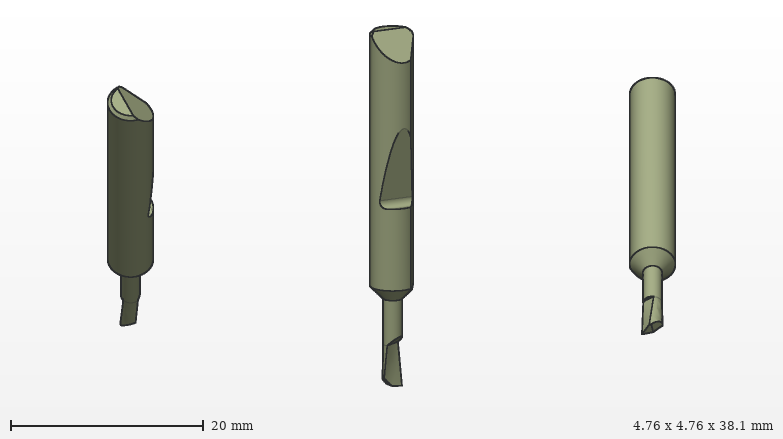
import cadquery as cq
import math

total_length = 38.1
shank_radius = 2.38
top_chamfer = 0.4
cone_top = 10.85
neck_radius = 1.01
cone_bottom = cone_top - (shank_radius - neck_radius)

flat_distance = 2.02
flat_normal_angle = 144.5
bevel_start_y = -0.57
notch_top = 28.15
notch_deep_y = 1.05
notch_deep_z = 20.42
notch_bottom = 19.6
notch_arc_end_y = 1.9

tip_root = 4.65
root_rake_angle = 27.0
tip_radius = 1.125
root_clearance_angle = 287.0
tip_clearance_angle = 262.0
runout_angle = 42.0
tip_corner_height = 1.15
end_edge_x = 0.08
end_relief_height = 0.1


def polar(radius, angle):
    """Point on a circle about the bar axis, angle in degrees from +X."""
    turn = math.radians(angle)
    return (radius * math.cos(turn), radius * math.sin(turn))


def bar_blank():
    """Turned body: chamfered shank, cone and slender neck."""
    outline = [
        (0, tip_root),
        (neck_radius, tip_root),
        (neck_radius, cone_bottom),
        (shank_radius, cone_top),
        (shank_radius, total_length - top_chamfer),
        (shank_radius - top_chamfer, total_length),
        (0, total_length),
    ]
    return cq.Workplane("XZ").polyline(outline).close().revolve(360, (0, 0), (0, 1))


def side_flat():
    """Cutter for the lengthwise flat, which also clips the cone."""
    return (
        cq.Workplane("XY")
        .box(shank_radius, 2 * shank_radius, total_length, centered=(False, True, False))
        .translate((flat_distance, 0, 0))
        .rotate((0, 0, 0), (0, 0, 1), flat_normal_angle)
    )


def extrude_across(profile):
    """Extend a closed YZ profile across the whole bar in X."""
    return profile.close().extrude(shank_radius, both=True)


def top_bevel():
    """Cutter for the 45 degree bevel on the +Y side of the top."""
    run = 2 * shank_radius
    return extrude_across(
        cq.Workplane("YZ")
        .moveTo(bevel_start_y, total_length)
        .lineTo(bevel_start_y + run, total_length - run)
        .lineTo(bevel_start_y + run, total_length)
    )


def clamping_notch():
    """Cutter for the sloping notch in +Y, rounded at its lower end."""
    slope = (shank_radius - notch_deep_y) / (notch_top - notch_deep_z)
    outside_y = 2 * shank_radius
    outside_z = notch_deep_z + (outside_y - notch_deep_y) / slope
    return extrude_across(
        cq.Workplane("YZ")
        .moveTo(outside_y, outside_z)
        .lineTo(notch_deep_y, notch_deep_z)
        .tangentArcPoint((notch_arc_end_y, notch_bottom), relative=False)
        .lineTo(outside_y, notch_bottom)
    )


def rake_runout():
    """Cutter for the slanted run-out where the rake face meets the neck."""
    reach = 2 * neck_radius
    rise = reach * math.tan(math.radians(runout_angle))
    return (
        cq.Workplane("YZ")
        .moveTo(0, tip_root)
        .lineTo(reach, tip_root + rise)
        .lineTo(reach, tip_root)
        .close()
        .extrude(reach, both=True)
        .rotate((0, 0, 0), (0, 0, 1), root_rake_angle)
    )


def tip_section(height, radius, rake_angle, clearance_angle):
    """Half-round section: rake face, flat clearance face and round back."""
    back_end = rake_angle + 360
    return (
        cq.Workplane("XY", origin=(0, 0, height))
        .moveTo(*polar(radius, rake_angle + 180))
        .lineTo(*polar(radius, clearance_angle))
        .threePointArc(polar(radius, (clearance_angle + back_end) / 2), polar(radius, back_end))
        .close()
        .wire()
        .val()
    )


def cutting_tip():
    """Twisted half-round tip, trimmed to a pointed end."""
    root = tip_section(tip_root, neck_radius, root_rake_angle, root_clearance_angle)
    end = tip_section(0, tip_radius, 0, tip_clearance_angle)
    tip = cq.Workplane(obj=cq.Solid.makeLoft([root, end], True))
    end_trim = (
        cq.Workplane("XZ")
        .moveTo(-tip_radius, 0)
        .lineTo(end_edge_x, end_relief_height)
        .lineTo(tip_radius, tip_corner_height)
        .lineTo(tip_radius, 0)
        .close()
        .extrude(2 * tip_radius, both=True)
    )
    return tip.cut(end_trim)


bar = bar_blank()
for cutter in (side_flat(), top_bevel(), clamping_notch(), rake_runout()):
    bar = bar.cut(cutter)

result = bar.union(cutting_tip())